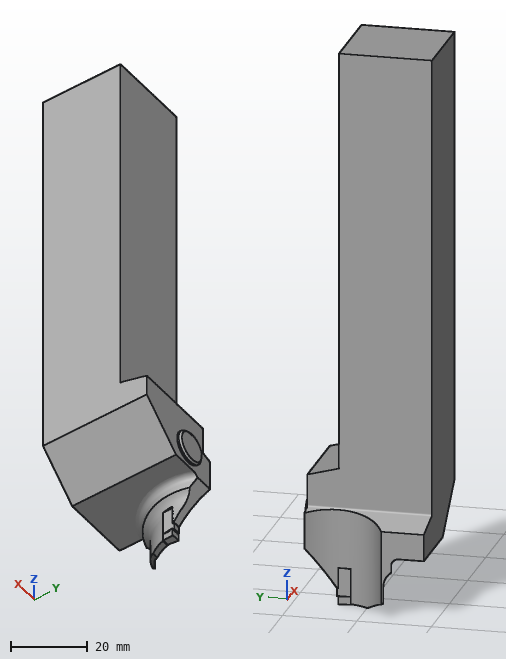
import cadquery as cq
import math

SHANK_SIZE = 25.0
TOTAL_HEIGHT = 151.35

HEAD_LEFT = -9.03
HEAD_BACK = 33.5
HEAD_BOTTOM = 16.7
LEFT_LEDGE_TOP = 26.4
BACK_LEDGE_TOP = 37.4
LEDGE_SLOPE = math.tan(math.radians(15))
LEDGE_FILLET = 0.6
BEVEL_TOP = 28.4
BEVEL_FOOT_X = 12.0

HOLLOW_RADIUS = 15.0
HOLLOW_X = -15.5
HOLLOW_Y = 25.0
BLADE_RADIUS = 16.0
BLADE_X = -14.1
BLADE_Y = 26.0
BLADE_BOTTOM = 0.7
COLLAR_OFFSET = 2.0
COLLAR_BOTTOM = 12.9
COLLAR_FILLET = 1.9
BLADE_FLARE_RADIUS = 5.0

FRONT_SLANT_BOTTOM_Y = 16.5
FRONT_SLANT_Y = 11.3
FRONT_SLANT_TOP = 4.0
JAW_BACK_Y = 25.4
JAW_BOTTOM = 4.7
BACK_SLANT_TOP = 15.8

SCREW_DIAMETER = 10.0
SCREW_X = 6.5
SCREW_Z = 23.1
SCREW_HEIGHT = 1.11
SCREW_CHAMFER = 0.6

INSERT_BOTTOM_Y = 21.6
INSERT_TOP_Y = SHANK_SIZE
INSERT_LEFT = -0.5
INSERT_RIGHT = 1.55
INSERT_HEIGHT = 10.3
CUTTING_OVERHANG = 0.45
CUTTING_HEAD_TOP = 2.6
CUTTING_EDGE_Z = 0.4
NIB_BOTTOM = 2.5


def box(x0, x1, y0, y1, z0, z1):
    return cq.Workplane("XY").box(x1 - x0, y1 - y0, z1 - z0, centered=False).translate((x0, y0, z0))


def yz_prism(points, x0, x1):
    return cq.Workplane("YZ").polyline(points).close().extrude(x1 - x0).translate((x0, 0, 0))


def make_shank_and_head():
    left_ledge_end = LEFT_LEDGE_TOP + HEAD_LEFT * LEDGE_SLOPE
    outline = [
        (0, TOTAL_HEIGHT),
        (SHANK_SIZE, TOTAL_HEIGHT),
        (SHANK_SIZE, BEVEL_TOP),
        (BEVEL_FOOT_X, HEAD_BOTTOM),
        (HEAD_LEFT, HEAD_BOTTOM),
        (HEAD_LEFT, left_ledge_end),
        (0, LEFT_LEDGE_TOP),
    ]
    body = cq.Workplane("XZ").polyline(outline).close().extrude(-HEAD_BACK)
    ledge_corner = cq.selectors.NearestToPointSelector((0, HEAD_BACK / 2, LEFT_LEDGE_TOP))
    body = body.edges(ledge_corner).fillet(LEDGE_FILLET)
    ledge_depth = HEAD_BACK - SHANK_SIZE
    above_back_ledge = [
        (SHANK_SIZE, TOTAL_HEIGHT),
        (SHANK_SIZE, BACK_LEDGE_TOP),
        (HEAD_BACK, BACK_LEDGE_TOP - ledge_depth * LEDGE_SLOPE),
        (HEAD_BACK, TOTAL_HEIGHT),
    ]
    return body.cut(yz_prism(above_back_ledge, HEAD_LEFT, SHANK_SIZE))


def make_blade():
    collar_radius = BLADE_RADIUS + COLLAR_OFFSET
    flare_rise = math.sqrt(BLADE_FLARE_RADIUS**2 - (BLADE_FLARE_RADIUS - COLLAR_OFFSET) ** 2)
    profile = (
        cq.Workplane("XZ")
        .moveTo(0, BLADE_BOTTOM)
        .lineTo(BLADE_RADIUS, BLADE_BOTTOM)
        .lineTo(BLADE_RADIUS, COLLAR_BOTTOM - flare_rise)
        .radiusArc((collar_radius, COLLAR_BOTTOM), BLADE_FLARE_RADIUS)
        .lineTo(collar_radius, HEAD_BOTTOM - COLLAR_FILLET)
        .radiusArc((collar_radius + COLLAR_FILLET, HEAD_BOTTOM), COLLAR_FILLET)
        .lineTo(0, HEAD_BOTTOM)
        .close()
    )
    blade = profile.revolve(360, (0, 0, 0), (0, 1, 0)).translate((BLADE_X, BLADE_Y, 0))
    blade = blade.intersect(box(HEAD_LEFT, SHANK_SIZE, 0, HEAD_BACK, 0, HEAD_BOTTOM))
    slope = (FRONT_SLANT_TOP - BLADE_BOTTOM) / (FRONT_SLANT_BOTTOM_Y - FRONT_SLANT_Y)
    front_waste = [
        (FRONT_SLANT_BOTTOM_Y, BLADE_BOTTOM),
        (0, BLADE_BOTTOM + slope * FRONT_SLANT_BOTTOM_Y),
        (0, BLADE_BOTTOM),
    ]
    back_waste = [
        (HEAD_BACK, BACK_SLANT_TOP),
        (JAW_BACK_Y, JAW_BOTTOM),
        (INSERT_TOP_Y, JAW_BOTTOM),
        (INSERT_TOP_Y, 0),
        (HEAD_BACK, 0),
    ]
    for waste in (front_waste, back_waste):
        blade = blade.cut(yz_prism(waste, HEAD_LEFT, SHANK_SIZE))
    return blade


def make_screw_head():
    head = cq.Workplane("XZ", origin=(SCREW_X, HEAD_BACK, SCREW_Z)).circle(SCREW_DIAMETER / 2)
    return head.extrude(-SCREW_HEIGHT).faces(">Y").chamfer(SCREW_CHAMFER)


def make_holder():
    holder = make_shank_and_head().union(make_blade()).union(make_screw_head())
    hollow = cq.Workplane("XY").center(HOLLOW_X, HOLLOW_Y).circle(HOLLOW_RADIUS).extrude(LEFT_LEDGE_TOP)
    pocket = box(HEAD_LEFT, SHANK_SIZE, INSERT_BOTTOM_Y, INSERT_TOP_Y, 0, INSERT_HEIGHT)
    return holder.cut(hollow).cut(pocket)


def make_insert():
    bar = box(INSERT_LEFT, INSERT_RIGHT, INSERT_BOTTOM_Y, INSERT_TOP_Y, CUTTING_EDGE_Z, INSERT_HEIGHT)
    head_left = INSERT_LEFT - CUTTING_OVERHANG
    head_right = INSERT_RIGHT + CUTTING_OVERHANG
    head_plan = [
        (head_left, INSERT_TOP_Y),
        (head_right, INSERT_TOP_Y),
        (INSERT_RIGHT, INSERT_BOTTOM_Y),
        (INSERT_LEFT, INSERT_BOTTOM_Y),
    ]
    head = cq.Workplane("XY").polyline(head_plan).close().extrude(CUTTING_HEAD_TOP)
    below_edge = [
        (head_left, 0),
        (head_left, CUTTING_EDGE_Z),
        (INSERT_RIGHT, CUTTING_EDGE_Z),
        (head_right, 0),
    ]
    waste = cq.Workplane("XZ").polyline(below_edge).close().extrude(-HEAD_BACK)
    nib = box(INSERT_LEFT, INSERT_RIGHT, INSERT_TOP_Y, JAW_BACK_Y, NIB_BOTTOM, JAW_BOTTOM)
    return bar.union(head.cut(waste)).union(nib)


holder = make_holder()
insert = make_insert()
result = cq.Compound.makeCompound([holder.val(), insert.val()])